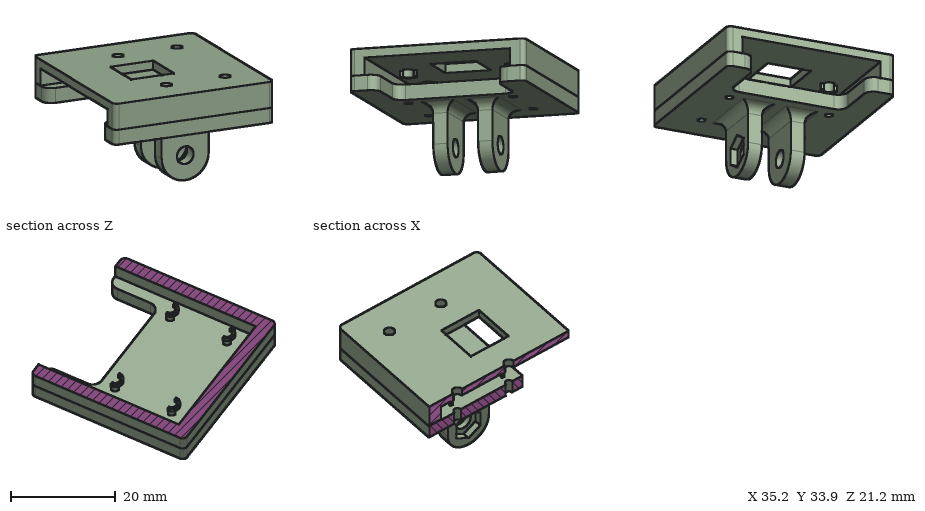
import cadquery as cq
import math

case_x = 35.17
case_y = 33.92
corner_radius = 1.0

base_thickness = 3.0
base_top = 0.0
base_bottom = base_top - base_thickness

cover_height = 5.2
roof_thickness = 1.8
wall_thickness = 3.0
cover_top = base_top + cover_height
ceiling = cover_top - roof_thickness

screw_spacing_x = 21.0
screw_spacing_y = 12.5
front_row_y = -2.46
cover_hole_diameter = 2.1
base_hole_diameter = 1.5
screw_points = [
    (side * screw_spacing_x / 2, front_row_y + row * screw_spacing_y)
    for side in (-1, 1)
    for row in (0, 1)
]

standoff_diameter = 3.3
standoff_height = 1.2

window_size = 9.1

slot_width = 24.0
slot_length = 11.25
slot_radius = 2.0

lug_thickness = 2.9
lug_gap = 6.1
lug_width = 10.0
lug_length = 13.0
lug_y = 3.79
lug_root_fillet = 2.0
lug_tip_radius = lug_width / 2
pivot_z = base_bottom - lug_length + lug_tip_radius
pivot_diameter = 3.5

nut_across_flats = 5.8
nut_across_corners = nut_across_flats / math.cos(math.pi / 6)
nut_recess_depth = 1.5


def rounded_block(bottom, height):
    """Block with the case footprint and rounded vertical corners."""
    return (
        cq.Workplane("XY", origin=(0, 0, bottom))
        .rect(case_x, case_y)
        .extrude(height)
        .edges("|Z")
        .fillet(corner_radius)
    )


def screw_cutters(diameter, bottom, height):
    """Cylinders at the four screw positions."""
    return (
        cq.Workplane("XY", origin=(0, 0, bottom))
        .pushPoints(screw_points)
        .circle(diameter / 2)
        .extrude(height)
    )


def standoff(x, y):
    """Half cylinder on the +Y side of a screw axis, ending at the ceiling."""
    radius = standoff_diameter / 2
    return (
        cq.Workplane("XY", origin=(x, y, ceiling - standoff_height))
        .moveTo(-radius, 0)
        .threePointArc((0, radius), (radius, 0))
        .close()
        .extrude(standoff_height)
    )


def make_cover():
    """Shell with a window, standoffs and clearance holes."""
    cavity = (
        cq.Workplane("XY", origin=(0, -wall_thickness / 2, base_top))
        .rect(case_x - 2 * wall_thickness, case_y - wall_thickness)
        .extrude(ceiling - base_top)
    )
    window = (
        cq.Workplane("XY", origin=(0, front_row_y, ceiling))
        .rect(window_size, window_size)
        .extrude(roof_thickness)
    )
    cover = rounded_block(base_top, cover_height).cut(cavity).cut(window)
    for x, y in screw_points:
        cover = cover.union(standoff(x, y))
    return cover.cut(screw_cutters(cover_hole_diameter, base_top, cover_height))


def slot_cutter():
    """Slot with rounded inner corners and a mouth flared by convex rounds."""
    half = slot_width / 2
    mouth_half = half + slot_radius
    front = -case_y / 2
    back = front + slot_length
    return (
        cq.Workplane("XY", origin=(0, 0, base_bottom))
        .moveTo(-mouth_half, front)
        .radiusArc((-half, front + slot_radius), -slot_radius)
        .lineTo(-half, back - slot_radius)
        .radiusArc((-half + slot_radius, back), slot_radius)
        .lineTo(half - slot_radius, back)
        .radiusArc((half, back - slot_radius), slot_radius)
        .lineTo(half, front + slot_radius)
        .radiusArc((mouth_half, front), -slot_radius)
        .close()
        .extrude(base_thickness)
    )


def lug_blank(inner_side):
    """Round-ended lug reaching from the plate underside, starting at the given X."""
    return (
        cq.Workplane("YZ", origin=(inner_side, lug_y, 0))
        .moveTo(-lug_tip_radius, base_bottom)
        .lineTo(-lug_tip_radius, pivot_z)
        .threePointArc((0, pivot_z - lug_tip_radius), (lug_tip_radius, pivot_z))
        .lineTo(lug_tip_radius, base_bottom)
        .close()
        .extrude(lug_thickness)
    )


def make_base():
    """Slotted plate with screw holes and two hinge lugs."""
    outer_side = lug_gap / 2 + lug_thickness
    base = rounded_block(base_bottom, base_thickness).cut(slot_cutter())

    for lug_start in (-outer_side, lug_gap / 2):
        base = base.union(lug_blank(lug_start))
    margin = 0.1
    root_region = cq.selectors.BoxSelector(
        (-outer_side - margin, lug_y - lug_width / 2 - margin, base_bottom - margin),
        (outer_side + margin, lug_y + lug_width / 2 + margin, base_bottom + margin),
    )
    base = base.edges(root_region).fillet(lug_root_fillet)

    base = base.cut(screw_cutters(base_hole_diameter, base_bottom, base_thickness))
    pivot_hole = (
        cq.Workplane("YZ", origin=(-outer_side, lug_y, pivot_z))
        .circle(pivot_diameter / 2)
        .extrude(2 * outer_side)
    )
    nut_recess = (
        cq.Workplane("YZ", origin=(-outer_side, lug_y, pivot_z))
        .transformed(rotate=(0, 0, 90))
        .polygon(6, nut_across_corners)
        .extrude(nut_recess_depth)
    )
    return base.cut(pivot_hole).cut(nut_recess)


cover = make_cover()
base = make_base()

result = cq.Compound.makeCompound([cover.val(), base.val()])